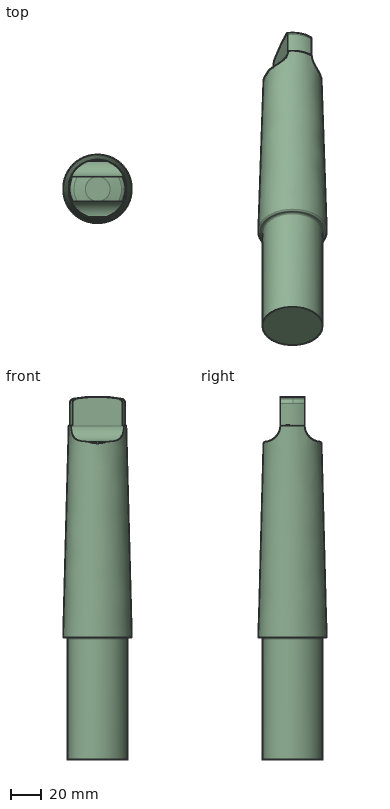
import cadquery as cq
import math

shank_diameter = 39.0
shank_length = 79.0
shank_corner_radius = 0.5

overall_length = 235.0
gauge_diameter = 44.399
gauge_height = 6.5
taper_per_mm = 1 / 19.002
lower_edge_fillet = 1.0

tang_diameter = 36.0
tang_thickness = 16.0
tang_height = 18.5
shoulder_corner_radius = 0.6
groove_radius = 10.4
groove_width = 10.0
lip_slope = math.radians(50)
end_flat_diameter = 16.0
end_slope = math.radians(8)
end_fillet = 3.0

lower_diameter = gauge_diameter + gauge_height * taper_per_mm
shoulder_z = overall_length - tang_height
shoulder_diameter = lower_diameter - (shoulder_z - shank_length) * taper_per_mm
tang_rim_z = overall_length - (tang_diameter - end_flat_diameter) / 2 * math.tan(end_slope)

selection_margin = 0.1


def fillet_circle(body, z, diameter, radius):
    """Fillet the circular edge of the given diameter at height z."""
    low = z - selection_margin
    high = z + selection_margin
    inner = diameter / 2 - selection_margin
    outer = diameter / 2 + selection_margin
    larger_circles = cq.selectors.BoxSelector((-outer, -outer, low), (outer, outer, high), boundingbox=True)
    smaller_circles = cq.selectors.BoxSelector((-inner, -inner, low), (inner, inner, high), boundingbox=True)
    return body.edges(larger_circles - smaller_circles).fillet(radius)


def turned_body():
    """Revolved shank, taper and round tang with a conical end."""
    shank_radius = shank_diameter / 2
    tang_radius = tang_diameter / 2
    profile = [
        (0, 0),
        (shank_radius, 0),
        (shank_radius, shank_length),
        (lower_diameter / 2, shank_length),
        (shoulder_diameter / 2, shoulder_z),
        (tang_radius, shoulder_z),
        (tang_radius, tang_rim_z),
        (end_flat_diameter / 2, overall_length),
        (0, overall_length),
    ]
    body = cq.Workplane("XZ").polyline(profile).close().revolve(360, (0, 0, 0), (0, 1, 0))
    body = fillet_circle(body, shank_length, shank_diameter, shank_corner_radius)
    body = fillet_circle(body, shank_length, lower_diameter, lower_edge_fillet)
    body = fillet_circle(body, shoulder_z, tang_diameter, shoulder_corner_radius)
    return fillet_circle(body, tang_rim_z, tang_diameter, end_fillet)


def tang_side_cut(side):
    """Material removed beside one tang flat, with a round groove and sloped lip at its foot."""

    def groove_point(sweep):
        """Point (y, z) on the groove arc, swept down from the foot of the flat."""
        y = tang_thickness / 2 + groove_radius * (1 - math.cos(sweep))
        z = shoulder_z - groove_radius * math.sin(sweep)
        return side * y, z

    flat_y = side * tang_thickness / 2
    groove_sweep = math.acos(1 - groove_width / groove_radius)
    lip_y, lip_z = groove_point(groove_sweep)
    outside_y = side * lower_diameter / 2
    outside_z = lip_z - abs(outside_y - lip_y) * math.tan(lip_slope)
    return (
        cq.Workplane("YZ")
        .moveTo(flat_y, overall_length)
        .lineTo(flat_y, shoulder_z)
        .threePointArc(groove_point(groove_sweep / 2), (lip_y, lip_z))
        .lineTo(outside_y, outside_z)
        .lineTo(outside_y, overall_length)
        .close()
        .extrude(lower_diameter, both=True)
    )


result = turned_body()
for side in (-1, 1):
    result = result.cut(tang_side_cut(side))